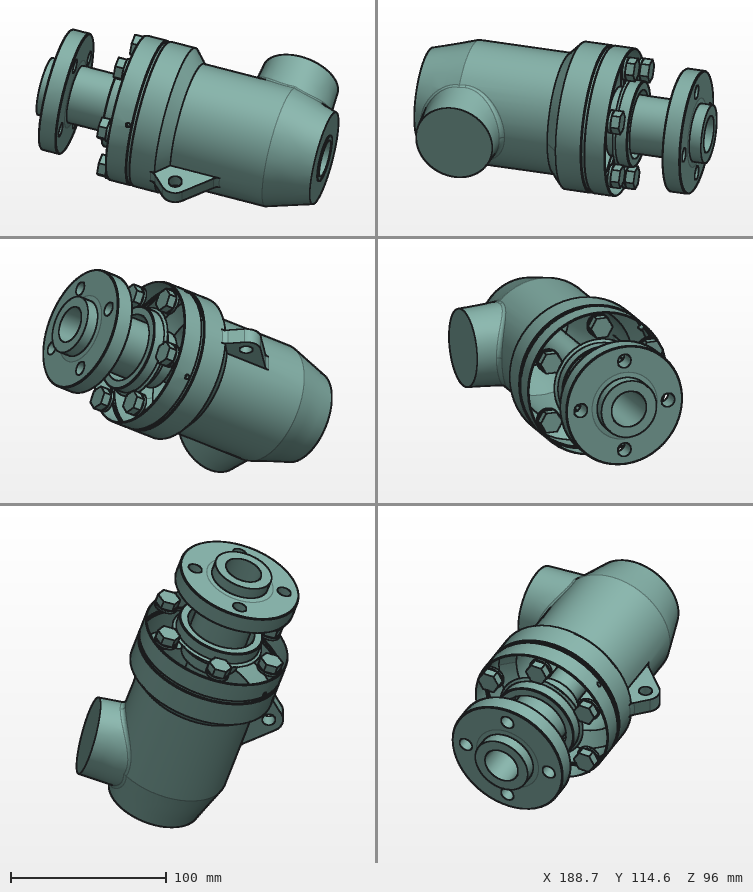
import cadquery as cq
import math


bore_diameter = 24.0
shaft_diameter = 38.0
shaft_end_x = 71.7
flange_front_x = 8.1
flange_thickness = 11.9
flange_diameter = 80.0
flange_edge_chamfer = 0.5
flange_hole_diameter = 9.0
flange_hole_circle_radius = 30.0
flange_hole_count = 4
weld_diameter = 45.0
weld_height = 0.4

collar_front_x = 46.6
collar_diameter = 56.0
collar_edge_chamfer = 0.5
collar_opening_diameter = 45.0
collar_opening_end_x = 62.3
collar_flare_x = 54.5
collar_flare_diameter = 60.0

cover_front_x = 55.8
hub_diameter = 96.0
hub_edge_chamfer = 0.5
groove_front_x = 70.0
groove_back_x = 71.7
groove_depth = 0.8
hub_back_x = 88.9

barrel_diameter = 79.0
barrel_front_x = 96.8
barrel_back_x = 158.7
taper_end_x = 188.1
taper_end_diameter = 61.1
end_ring_diameter = 30.4
total_length = 188.7

bolt_count = 6
bolt_circle_radius = 40.0
bolt_head_flats = 13.0
bolt_head_front_x = 48.3
washer_front_x = 54.0
washer_diameter = 15.0

rim_hole_x = 67.2
rim_hole_diameter = 3.0
rim_hole_depth = 3.8
rim_hole_angle = 41.8

outlet_x = 154.5
outlet_end_y = 55.0
outlet_end_diameter = 51.0
outlet_root_y = 15.1
outlet_taper_angle = 3.7
outlet_fillet = 2.8

lug_x = 103.8
lug_y = -50.4
lug_round_radius = 9.2
lug_root_y = -37.7
lug_thickness = 10.0
lug_hole_diameter = 8.5
lug_root_fillet = 5.0


def disc(start_x, end_x, diameter):
    """Solid cylinder along the X axis."""
    return cq.Workplane("YZ", origin=(start_x, 0, 0)).circle(diameter / 2).extrude(end_x - start_x)


def cone(start_x, end_x, start_diameter, end_diameter):
    """Solid truncated cone along the X axis."""
    return cq.Workplane(
        cq.Solid.makeCone(
            start_diameter / 2,
            end_diameter / 2,
            end_x - start_x,
            cq.Vector(start_x, 0, 0),
            cq.Vector(1, 0, 0),
        )
    )


def make_shaft():
    """Bored shaft carrying a drilled flange with a shallow weld on each face."""
    flange_back_x = flange_front_x + flange_thickness
    flange = disc(flange_front_x, flange_back_x, flange_diameter)
    flange = flange.faces("|X").edges().chamfer(flange_edge_chamfer)
    flange_holes = (
        cq.Workplane("YZ", origin=(flange_front_x, 0, 0))
        .polarArray(flange_hole_circle_radius, 0, 360, flange_hole_count)
        .circle(flange_hole_diameter / 2)
        .extrude(flange_thickness)
    )
    front_weld = cone(flange_front_x - weld_height, flange_front_x, shaft_diameter, weld_diameter)
    back_weld = cone(flange_back_x, flange_back_x + weld_height, weld_diameter, shaft_diameter)
    shaft = disc(0, shaft_end_x, shaft_diameter).union(flange.cut(flange_holes))
    shaft = shaft.union(front_weld).union(back_weld)
    return shaft.cut(disc(0, shaft_end_x, bore_diameter))


def make_turned_housing():
    """Solid outline of the collar, cover, hub, barrel and tapered end, revolved about the X axis."""
    collar_radius = collar_diameter / 2
    hub_radius = hub_diameter / 2
    groove_radius = hub_radius - groove_depth
    end_ring_radius = end_ring_diameter / 2
    outline = [
        (collar_front_x, 0),
        (collar_front_x, collar_radius - collar_edge_chamfer),
        (collar_front_x + collar_edge_chamfer, collar_radius),
        (collar_flare_x, collar_radius),
        (cover_front_x, collar_flare_diameter / 2),
        (cover_front_x, hub_radius - hub_edge_chamfer),
        (cover_front_x + hub_edge_chamfer, hub_radius),
        (groove_front_x - hub_edge_chamfer, hub_radius),
        (groove_front_x, groove_radius),
        (groove_back_x, groove_radius),
        (groove_back_x + hub_edge_chamfer, hub_radius),
        (hub_back_x, hub_radius),
        (barrel_front_x, barrel_diameter / 2),
        (barrel_back_x, barrel_diameter / 2),
        (taper_end_x, taper_end_diameter / 2),
        (taper_end_x, end_ring_radius),
        (total_length, end_ring_radius),
        (total_length, 0),
    ]
    return cq.Workplane("XY").polyline(outline).close().revolve(360, (0, 0, 0), (1, 0, 0))


def add_outlet(housing):
    """Side outlet that widens toward the barrel, with a fillet all round its root."""
    root_growth = (outlet_end_y - outlet_root_y) * math.tan(math.radians(outlet_taper_angle))
    end_radius = outlet_end_diameter / 2
    outlet = cq.Workplane(
        cq.Solid.makeCone(
            end_radius + root_growth,
            end_radius,
            outlet_end_y - outlet_root_y,
            cq.Vector(outlet_x, outlet_root_y, 0),
            cq.Vector(0, 1, 0),
        )
    )
    joined = housing.union(outlet)
    root_zone = cq.selectors.BoxSelector(
        (outlet_x - outlet_end_diameter, outlet_root_y, -outlet_end_diameter),
        (total_length, outlet_end_y - outlet_fillet, outlet_end_diameter),
    )
    root_edges = joined.edges(root_zone).edges("not(%CIRCLE)").edges("not(%LINE)")
    return joined.newObject(root_edges.vals()).fillet(outlet_fillet)


def add_lug(housing):
    """Drilled lug with two 45 degree sides tangent to its round tip, filleted at its root."""
    tangent_offset = lug_round_radius * math.sqrt(0.5)
    tangent_y = lug_y - tangent_offset
    side_run = lug_root_y - tangent_y
    root_half_width = tangent_offset + side_run
    lug = (
        cq.Workplane("XY", origin=(lug_x, 0, -lug_thickness / 2))
        .moveTo(-root_half_width, lug_root_y)
        .lineTo(-tangent_offset, tangent_y)
        .threePointArc((0, lug_y - lug_round_radius), (tangent_offset, tangent_y))
        .lineTo(root_half_width, lug_root_y)
        .close()
        .extrude(lug_thickness)
    )
    hole = (
        cq.Workplane("XY", origin=(lug_x, lug_y, -lug_thickness / 2))
        .circle(lug_hole_diameter / 2)
        .extrude(lug_thickness)
    )
    joined = housing.union(lug.cut(hole))
    root_zone = cq.selectors.BoxSelector(
        (lug_x - root_half_width, lug_y, -lug_thickness),
        (lug_x + root_half_width, lug_root_y, lug_thickness),
    )
    root_corners = joined.edges("%ELLIPSE").edges(root_zone)
    return joined.newObject(root_corners.vals()).fillet(lug_root_fillet)


def add_bolts(housing):
    """Ring of hexagon heads on washers, all heads with a flat facing +Z."""
    hexagon_sides = 6
    head_corners = bolt_head_flats / math.cos(math.pi / hexagon_sides)
    for index in range(bolt_count):
        angle = math.pi / 2 + index * 2 * math.pi / bolt_count
        y = bolt_circle_radius * math.cos(angle)
        z = bolt_circle_radius * math.sin(angle)
        head = (
            cq.Workplane("YZ", origin=(bolt_head_front_x, y, z))
            .polygon(hexagon_sides, head_corners)
            .extrude(washer_front_x - bolt_head_front_x)
        )
        washer = disc(washer_front_x, cover_front_x, washer_diameter).translate((0, y, z))
        housing = housing.union(head).union(washer)
    return housing


def cut_rim_holes(housing):
    """Two blind radial holes, one above and one below the lug's level, on the lug side."""
    for angle in (-rim_hole_angle, rim_hole_angle):
        hole = (
            cq.Workplane("XZ", origin=(rim_hole_x, -hub_diameter / 2, 0))
            .circle(rim_hole_diameter / 2)
            .extrude(-rim_hole_depth)
            .rotate((0, 0, 0), (1, 0, 0), angle)
        )
        housing = housing.cut(hole)
    return housing


def cut_bores(housing):
    """Clearance opening through the collar, then the shaft's socket, then the through bore."""
    housing = housing.cut(disc(collar_front_x, collar_opening_end_x, collar_opening_diameter))
    housing = housing.cut(disc(collar_opening_end_x, shaft_end_x, shaft_diameter))
    return housing.cut(disc(shaft_end_x, total_length, bore_diameter))


shaft = make_shaft()
housing = make_turned_housing()
housing = add_outlet(housing)
housing = add_lug(housing)
housing = add_bolts(housing)
housing = cut_rim_holes(housing)
housing = cut_bores(housing)

result = cq.Compound.makeCompound([shaft.val(), housing.val()])